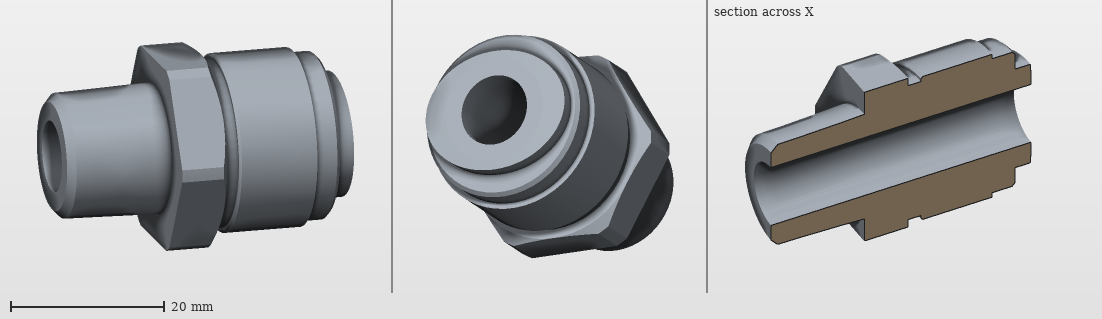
import cadquery as cq
import math

chamfer_end_y = 1.0
hex_start_y = 13.8
hex_end_y = 20.28
sleeve_start_y = 22.1
sleeve_end_y = 32.68
collar_end_y = 36.1
total_length = 38.4

bore_radius = 4.72
tip_radius = 7.2
taper_start_radius = 8.25
taper_end_radius = 8.65
collar_radius = 11.05
collar_chamfer = 0.5
sleeve_radius = 11.8
sleeve_chamfer = 0.3

hex_across_flats = 24.5
hex_across_corners = 27.38
hex_chamfer_angle = 30.0

button_half_width = 10.02
button_half_height = 8.15
button_face_radius = 7.03
button_cone_drop = 0.23


def revolve_profile(points):
    """Turn a closed (radius, y) outline about the Y axis."""
    return cq.Workplane("XY").polyline(points).close().revolve(360, (0, 0), (0, 1))


def section_plane(y):
    """XZ sketch plane at station y; positive extrusion runs toward +Y."""
    return cq.Workplane(cq.Plane(origin=(0, y, 0), xDir=(1, 0, 0), normal=(0, 1, 0)))


def make_turned_body():
    return revolve_profile([
        (0, 0),
        (tip_radius, 0),
        (taper_start_radius, chamfer_end_y),
        (taper_end_radius, hex_start_y),
        (collar_radius, hex_start_y),
        (collar_radius, sleeve_start_y),
        (sleeve_radius - sleeve_chamfer, sleeve_start_y),
        (sleeve_radius, sleeve_start_y + sleeve_chamfer),
        (sleeve_radius, sleeve_end_y),
        (collar_radius, sleeve_end_y),
        (collar_radius, collar_end_y - collar_chamfer),
        (collar_radius - collar_chamfer, collar_end_y),
        (0, collar_end_y),
    ])


def make_hexagon():
    flat_radius = hex_across_flats / 2
    corner_radius = hex_across_corners / 2
    sharp_corner_diameter = hex_across_flats / math.cos(math.radians(30))
    prism = section_plane(hex_start_y).polygon(6, sharp_corner_diameter).extrude(hex_end_y - hex_start_y)
    chamfer_drop = (corner_radius - flat_radius) * math.tan(math.radians(hex_chamfer_angle))
    envelope = revolve_profile([
        (0, hex_start_y),
        (corner_radius, hex_start_y),
        (corner_radius, hex_end_y - chamfer_drop),
        (flat_radius, hex_end_y),
        (0, hex_end_y),
    ])
    return prism.intersect(envelope)


def make_button():
    oval = (
        section_plane(collar_end_y)
        .ellipse(button_half_width, button_half_height)
        .extrude(total_length - collar_end_y)
    )
    envelope = revolve_profile([
        (0, collar_end_y),
        (button_half_width, collar_end_y),
        (button_half_width, total_length - button_cone_drop),
        (button_face_radius, total_length),
        (0, total_length),
    ])
    return oval.intersect(envelope)


bore = section_plane(0).circle(bore_radius).extrude(total_length)
result = make_turned_body().union(make_hexagon()).union(make_button()).cut(bore)